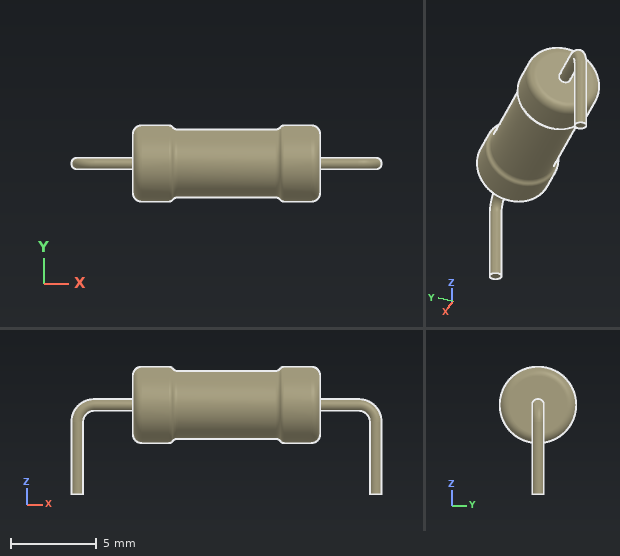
import cadquery as cq
import math

body_length = 11.0
cap_diameter = 4.5
barrel_diameter = 4.0
cap_length = 2.62
end_round = 0.54
shoulder_length = 0.5
crest_length = 0.22

wire_diameter = 0.7
lead_pitch = 17.5
bend_radius = 1.0
leg_drop = 5.25


def make_body():
    """Barrel with a raised cap at each end, as one turned solid."""
    half_length = body_length / 2
    cap_radius = cap_diameter / 2
    barrel_radius = barrel_diameter / 2
    barrel_end = half_length - cap_length
    crest_start = barrel_end + shoulder_length

    step_height = cap_radius - barrel_radius
    half_sweep = math.atan(step_height / shoulder_length)
    crest_radius = crest_length / math.sin(2 * half_sweep)
    root_radius = (shoulder_length - crest_length) / math.sin(2 * half_sweep)
    step_mid = (
        crest_start - crest_length,
        cap_radius - crest_length * math.tan(half_sweep),
    )
    root_mid = (
        barrel_end + root_radius * math.sin(half_sweep),
        barrel_radius + root_radius * (1 - math.cos(half_sweep)),
    )
    crest_mid = (
        crest_start - crest_radius * math.sin(half_sweep),
        cap_radius - crest_radius * (1 - math.cos(half_sweep)),
    )
    round_mid = (
        half_length - end_round * (1 - math.sqrt(0.5)),
        cap_radius - end_round * (1 - math.sqrt(0.5)),
    )

    def mirrored(point):
        return (-point[0], point[1])

    root_end = (barrel_end, barrel_radius)
    crest_end = (crest_start, cap_radius)
    round_start = (half_length - end_round, cap_radius)
    round_end = (half_length, cap_radius - end_round)

    return (
        cq.Workplane("XY")
        .moveTo(-half_length, 0)
        .lineTo(*mirrored(round_end))
        .threePointArc(mirrored(round_mid), mirrored(round_start))
        .lineTo(*mirrored(crest_end))
        .threePointArc(mirrored(crest_mid), mirrored(step_mid))
        .threePointArc(mirrored(root_mid), mirrored(root_end))
        .lineTo(*root_end)
        .threePointArc(root_mid, step_mid)
        .threePointArc(crest_mid, crest_end)
        .lineTo(*round_start)
        .threePointArc(round_mid, round_end)
        .lineTo(half_length, 0)
        .close()
        .revolve(360, (0, 0, 0), (1, 0, 0))
    )


def make_lead(side):
    """Round wire from a body end face, bent down; side is -1 or +1 along X."""
    start_x = side * body_length / 2
    leg_x = side * lead_pitch / 2
    bend_x = leg_x - side * bend_radius
    bend_mid = (
        bend_x + side * bend_radius * math.sqrt(0.5),
        -bend_radius * (1 - math.sqrt(0.5)),
    )
    path = (
        cq.Workplane("XZ")
        .moveTo(start_x, 0)
        .lineTo(bend_x, 0)
        .threePointArc(bend_mid, (leg_x, -bend_radius))
        .lineTo(leg_x, -leg_drop)
    )
    return (
        cq.Workplane("YZ", origin=(start_x, 0, 0))
        .circle(wire_diameter / 2)
        .sweep(path)
    )


body = make_body()
leads = [make_lead(side) for side in (-1, 1)]

result = cq.Compound.makeCompound([body.val(), *[lead.val() for lead in leads]])